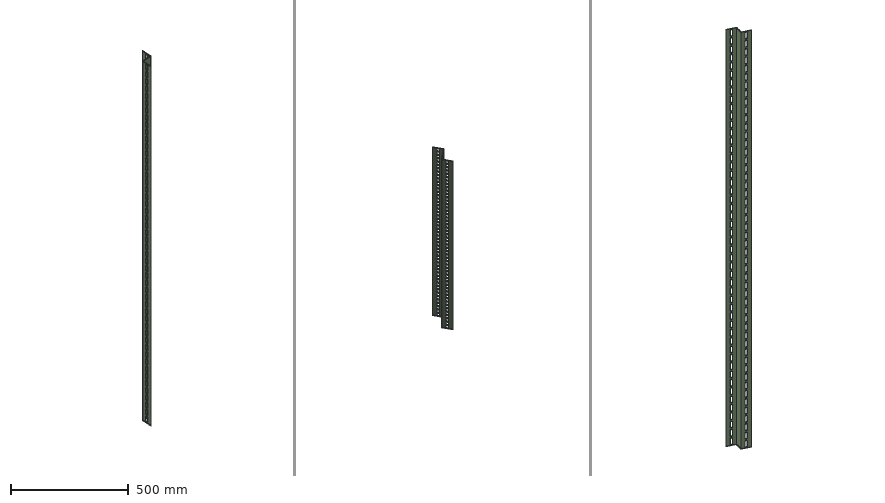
import cadquery as cq

rail_length = 2000.0
rail_depth = 50.0
flange_width = 50.0
thickness = 2.5

slot_length = 32.6
slot_width = 10.8
slot_pitch = 40.0
slot_edge_distance = 25.0

rail_width = 2 * flange_width - thickness
slot_count = round(rail_length / slot_pitch)
slot_axis_x = rail_width / 2 - slot_edge_distance


def rail_body():
    """Z profile centred on X and Y, extruded upwards from Z = 0."""
    tip_x = rail_width / 2
    web_x = thickness / 2
    outer_y = rail_depth / 2
    inner_y = outer_y - thickness
    profile = [
        (-tip_x, outer_y),
        (web_x, outer_y),
        (web_x, -inner_y),
        (tip_x, -inner_y),
        (tip_x, -outer_y),
        (-web_x, -outer_y),
        (-web_x, inner_y),
        (-tip_x, inner_y),
    ]
    return cq.Workplane("XY").polyline(profile).close().extrude(rail_length)


def slot_cutters(axis_x):
    """Vertical row of slots running through the flange along Y."""
    return (
        cq.Workplane("XZ")
        .center(axis_x, rail_length / 2)
        .rarray(1, slot_pitch, 1, slot_count)
        .slot2D(slot_length, slot_width, 90)
        .extrude(rail_depth, both=True)
    )


result = rail_body()
for side in (-1, 1):
    result = result.cut(slot_cutters(side * slot_axis_x))